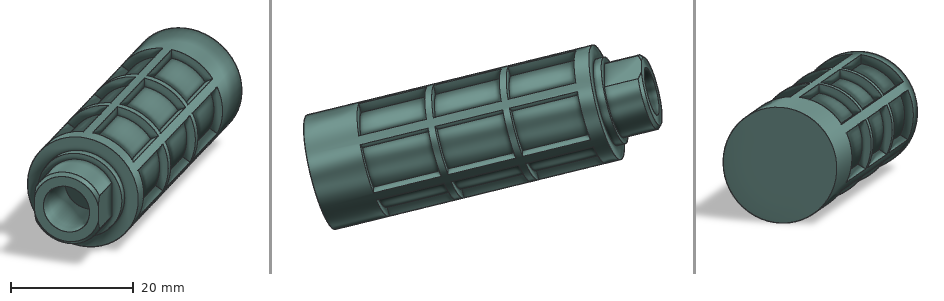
import cadquery as cq

total_length = 56.55
body_radius = 9.64

neck_length = 6.35
neck_radius = 6.3
neck_chamfer = 0.55
flat_half_width = 5.55
collar_length = 1.35
collar_radius = 7.3
flange_length = 2.55
bore_radius = 4.0

window_rows = 3
window_length = 11.6
band_width = 1.2
window_floor_radius = 8.15
rib_count = 6
rib_width = 1.6

flange_start = neck_length + collar_length
windows_start = flange_start + flange_length
row_pitch = window_length + band_width


def cylinder(radius, start, length):
    """Cylinder about the Y axis from Y = start to Y = start + length."""
    plane = cq.Plane(origin=(0, start, 0), xDir=(1, 0, 0), normal=(0, 1, 0))
    return cq.Workplane(plane).circle(radius).extrude(length)


def make_neck():
    """Chamfered round neck with two wrench flats facing -X and +X."""
    neck = cylinder(neck_radius, 0, neck_length).faces("<Y").chamfer(neck_chamfer)
    between_flats = cq.Workplane("XY").box(
        2 * flat_half_width, neck_length, 2 * neck_radius
    ).translate((0, neck_length / 2, 0))
    return neck.intersect(between_flats)


def make_ribs(start):
    """Lengthwise ribs over one row of windows, the first one at +Z."""
    rib = cq.Workplane("XY").box(
        rib_width, window_length, body_radius, centered=(True, False, False)
    ).translate((0, start, 0))
    ribs = rib
    for index in range(1, rib_count):
        angle = index * 360 / rib_count
        ribs = ribs.union(rib.rotate((0, 0, 0), (0, 1, 0), angle))
    return ribs


def make_window_row(start):
    """Ring of material removed between the ribs of one row."""
    ring = cylinder(body_radius, start, window_length).cut(
        cylinder(window_floor_radius, start, window_length)
    )
    return ring.cut(make_ribs(start))


body = cylinder(body_radius, flange_start, total_length - flange_start)
for row in range(window_rows):
    body = body.cut(make_window_row(windows_start + row * row_pitch))

collar = cylinder(collar_radius, neck_length, collar_length)

bore = cylinder(bore_radius, 0, windows_start)

result = body.union(collar).union(make_neck()).cut(bore)